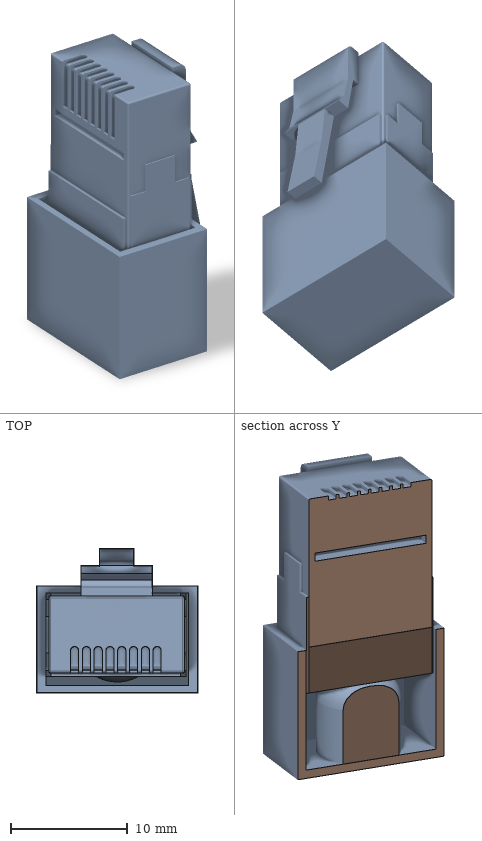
import cadquery as cq
import math


overall_depth = 12.37

boot_width = 13.85
boot_depth = 9.18
boot_height = 11.77
boot_side_wall = 0.8
boot_end_wall = 0.62
boot_floor = 0.8

cavity_left = -boot_width / 2 + boot_side_wall
cavity_back = boot_depth / 2 - boot_end_wall

plug_x = -0.05
plug_y = 0.41
plug_width = 11.65
plug_depth = 6.6
plug_top = 25.6
plug_bottom = 12.03
insert_bottom = 7.78
edge_radius = 0.15

plug_front = plug_y - plug_depth / 2
plug_back = plug_y + plug_depth / 2

slot_count = 8
slot_pitch = 1.0
slot_width = 0.7
slot_bottom = 21.24
slot_top_depth = 0.35
slot_front_depth = 0.25
slot_back = -0.62
slot_floor_radius = 0.25

groove_width = 10.42
groove_height = 0.7
groove_bottom = 19.8
groove_depth = 1.55

latch_width = 6.12
lever_width = 2.95
latch_top = 25.93
latch_back = 5.1
latch_top_radius = 0.62
latch_bend_z = 21.7
latch_knee_y = 5.65
latch_knee_z = 19.2
latch_root_y = 4.4
latch_root_z = 22.1
lever_top_y = 6.33
lever_top_z = 18.05
lever_kink_y = 6.75
lever_kink_z = 14.05
lever_tip_y = overall_depth - boot_depth / 2
lever_tip_z = 8.7
lever_tip_thickness = 1.05

shield_width = 12.0
shield_depth = 7.15
shield_x = cavity_left + shield_width / 2
shield_y = cavity_back - shield_depth / 2
shield_corner_top = 11.15
corner_fall_x = 1.4
corner_fall_y = 0.27
front_plate_width = 11.12
side_plate_depth = 6.1
front_plate_top = 14.42
shoulder_top = 16.62
tab_depth = 3.1
tab_top = 19.2

slot_x = shield_x

cable_radius = 3.65
cable_top_radius = 2.07


def block(x, y, width, depth, bottom, top):
    """Box centred on (x, y) between two heights."""
    return (
        cq.Workplane("XY", origin=(x, y, bottom))
        .rect(width, depth)
        .extrude(top - bottom)
    )


def core_block(bottom, top):
    """Block of the plug's cross-section with rounded upright edges."""
    return block(plug_x, plug_y, plug_width, plug_depth, bottom, top).edges("|Z").fillet(edge_radius)


def make_boot():
    """Rectangular cup, closed at the bottom."""
    outer = block(0, 0, boot_width, boot_depth, 0, boot_height)
    cavity_width = boot_width - 2 * boot_side_wall
    cavity_depth = boot_depth - 2 * boot_end_wall
    return outer.cut(block(0, 0, cavity_width, cavity_depth, boot_floor, boot_height))


def make_cable():
    """Round cable with a domed end, between the boot floor and the insert."""
    return (
        cq.Workplane("XY", origin=(0, 0, boot_floor))
        .circle(cable_radius)
        .extrude(insert_bottom - boot_floor)
        .faces(">Z").edges().fillet(cable_top_radius)
    )


def make_insert():
    """Rear block that carries on the plug's outline inside the shield."""
    return core_block(insert_bottom, plug_bottom)


def extrude_across(profile, width):
    """Extrude a YZ profile to both sides of its workplane."""
    return profile.extrude(width / 2, both=True)


def make_latch():
    """Wide sprung latch ending in a narrower lever, both leaning outward."""
    lean = (lever_tip_y - lever_tip_thickness - latch_root_y) / (latch_root_z - lever_tip_z)
    lever_root_y = latch_root_y + lean * (latch_root_z - lever_top_z)
    arc_offset = latch_top_radius * (1 - math.sqrt(0.5))

    latch_profile = (
        cq.Workplane("YZ", origin=(plug_x, 0, 0))
        .moveTo(plug_back - edge_radius, latch_root_z)
        .lineTo(plug_back - edge_radius, plug_top - edge_radius)
        .lineTo(plug_back, plug_top - edge_radius)
        .lineTo(plug_back, latch_top)
        .lineTo(latch_back - latch_top_radius, latch_top)
        .threePointArc(
            (latch_back - arc_offset, latch_top - arc_offset),
            (latch_back, latch_top - latch_top_radius),
        )
        .lineTo(latch_back, latch_bend_z)
        .lineTo(latch_knee_y, latch_knee_z)
        .lineTo(lever_top_y, lever_top_z)
        .lineTo(lever_root_y, lever_top_z)
        .lineTo(latch_root_y, latch_root_z)
        .close()
    )
    lever_profile = (
        cq.Workplane("YZ", origin=(plug_x, 0, 0))
        .moveTo(lever_top_y, lever_top_z)
        .lineTo(lever_kink_y, lever_kink_z)
        .lineTo(lever_tip_y, lever_tip_z)
        .lineTo(lever_tip_y - lever_tip_thickness, lever_tip_z)
        .lineTo(lever_root_y, lever_top_z)
        .close()
    )
    return extrude_across(latch_profile, latch_width).union(extrude_across(lever_profile, lever_width))


def contact_slot(x):
    """L-shaped slot over the top front edge, with a rounded inner end and a rounded floor edge."""
    half_width = slot_width / 2
    slot_length = slot_back - plug_front
    envelope = block(
        x, plug_front + (slot_length - half_width) / 2,
        slot_width, slot_length - half_width,
        slot_bottom, plug_top,
    )
    round_end = (
        cq.Workplane("XY", origin=(x, slot_back - half_width, slot_bottom))
        .circle(half_width)
        .extrude(plug_top - slot_bottom)
    )
    floor_front = plug_front + slot_front_depth
    floor_top = plug_top - slot_top_depth
    floor = block(
        x, (floor_front + slot_back) / 2,
        slot_width, slot_back - floor_front,
        slot_bottom, floor_top,
    )
    floor = floor.edges(">Z and <Y").fillet(slot_floor_radius)
    return envelope.union(round_end).cut(floor)


def make_plug():
    """Plug housing with latch, contact slots and cross groove."""
    plug = core_block(plug_bottom, plug_top).faces(">Z").edges().fillet(edge_radius)
    plug = plug.union(make_latch())
    for i in range(slot_count):
        plug = plug.cut(contact_slot(slot_x + (i - (slot_count - 1) / 2) * slot_pitch))
    groove = block(
        plug_x, plug_front + groove_depth / 2,
        groove_width, groove_depth,
        groove_bottom, groove_bottom + groove_height,
    )
    return plug.cut(groove)


def corner_slope(x_side, y_side):
    """Space above a plane that falls outward along X and slightly inward along Y at one corner."""
    highest_point = (
        shield_x + x_side * front_plate_width / 2,
        shield_y + y_side * shield_depth / 2,
        shield_corner_top,
    )
    slope = cq.Plane(
        origin=highest_point,
        xDir=(0, 1, y_side * corner_fall_y),
        normal=(x_side * corner_fall_x, -y_side * corner_fall_y, 1),
    )
    return cq.Workplane(slope).rect(shield_depth, shield_depth).extrude(shield_depth)


def make_shield():
    """Sheet sleeve round the insert, with four plates rising from it along the plug."""
    shield = block(shield_x, shield_y, shield_width, shield_depth, insert_bottom, shield_corner_top)
    for x_side in (-1, 1):
        for y_side in (-1, 1):
            shield = shield.cut(corner_slope(x_side, y_side))

    plate_tops = ((-1, front_plate_top), (1, shoulder_top))
    for y_side, plate_top in plate_tops:
        plate_y = shield_y + y_side * shield_depth / 4
        plate = block(shield_x, plate_y, front_plate_width, shield_depth / 2, insert_bottom, plate_top)
        shield = shield.union(plate)

    shoulders = block(shield_x, shield_y, shield_width, side_plate_depth, insert_bottom, shoulder_top)
    tabs = block(shield_x, shield_y, shield_width, tab_depth, insert_bottom, tab_top)
    return shield.union(shoulders).union(tabs).cut(core_block(insert_bottom, plug_top))


boot = make_boot()
cable = make_cable()
insert = make_insert()
plug = make_plug()
shield = make_shield()

result = cq.Compound.makeCompound([boot.val(), cable.val(), insert.val(), plug.val(), shield.val()])